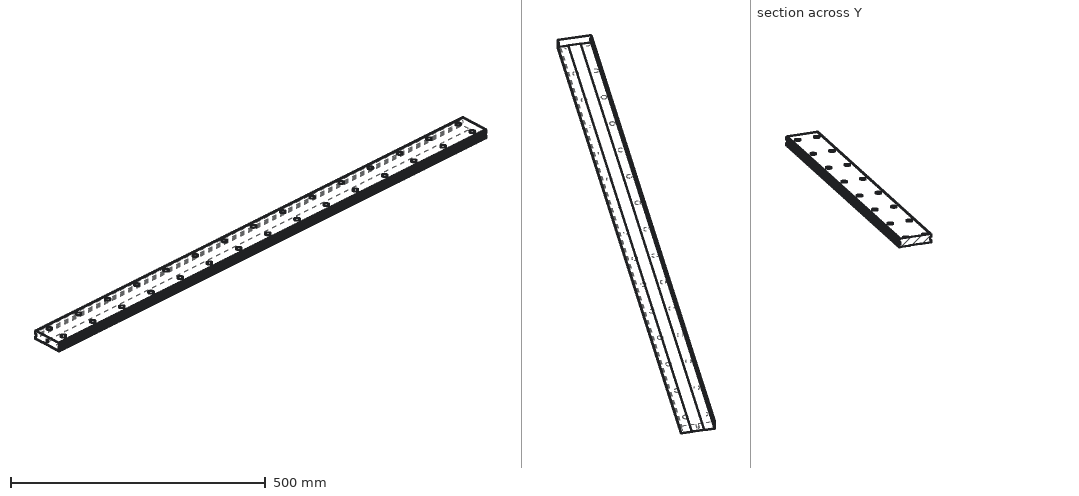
import cadquery as cq
rail_width = 69.0
rail_length = 1170.0
rail_height = 19.0
half_width = rail_width / 2
half_height = rail_height / 2

corner_track_width = 2.0
corner_track_height = 2.5
corner_track_radius = 3.2

groove_depth = 3.0
groove_top_z = 3.4
groove_bottom_z = -5.5

bottom_chamfer = 1.2
relief_width = 25.0
relief_depth = 0.5

hole_pitch = 80.0
holes_per_row = 15
row_spacing = 40.0
cap_diameter = 11.0
cap_recess = 0.1

end_hole_diameter = 5.0
end_hole_depth = 12.0


def rail_body():
    """Rail section extruded along Y."""
    groove_floor_x = half_width - groove_depth
    corner_x = half_width - corner_track_width
    corner_z = half_height - corner_track_height
    right_side = [
        (half_width, groove_top_z),
        (groove_floor_x, groove_top_z - groove_depth),
        (groove_floor_x, groove_bottom_z + groove_depth),
        (half_width, groove_bottom_z),
        (half_width, -half_height + bottom_chamfer),
        (half_width - bottom_chamfer, -half_height),
        (relief_width / 2, -half_height),
        (relief_width / 2, -half_height + relief_depth),
    ]
    left_side = [(-x, z) for x, z in reversed(right_side)]
    section = (
        cq.Workplane("XZ")
        .moveTo(-corner_x, half_height)
        .lineTo(corner_x, half_height)
        .radiusArc((half_width, corner_z), -corner_track_radius)
    )
    for x, z in right_side + left_side:
        section = section.lineTo(x, z)
    section = (
        section.lineTo(-half_width, corner_z)
        .radiusArc((-corner_x, half_height), -corner_track_radius)
        .close()
    )
    return section.extrude(rail_length / 2, both=True)


def cap_recesses():
    """Cutters for the shallow round recesses over the mounting holes."""
    return (
        cq.Workplane("XY", origin=(0, 0, half_height))
        .rarray(row_spacing, hole_pitch, 2, holes_per_row)
        .circle(cap_diameter / 2)
        .extrude(-cap_recess)
    )


def end_hole():
    """Cutter for the blind hole in the middle of the -Y end face."""
    return (
        cq.Workplane("XZ", origin=(0, -rail_length / 2, 0))
        .circle(end_hole_diameter / 2)
        .extrude(-end_hole_depth)
    )


result = rail_body().cut(cap_recesses()).cut(end_hole())